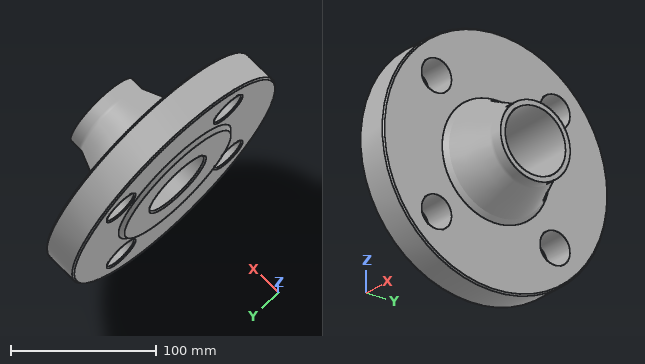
import cadquery as cq
import math

overall_length = 75.0
flange_diameter = 195.0
flange_back = 30.0
flange_chamfer = 1.2

raised_face_height = 3.0
raised_face_diameter = 102.0
raised_face_base_radius = raised_face_diameter / 2 + raised_face_height

neck_foot_radius = 46.5
neck_start = 33.7
neck_start_radius = 43.3
neck_end = 63.5
neck_end_radius = 30.6
pipe_start = 66.0
pipe_diameter = 60.3

bore_diameter = 52.3
bore_chamfer = 1.2

bolt_hole_count = 4
bolt_hole_diameter = 26.0
bolt_hole_chamfer = 1.0
bolt_circle_diameter = 145.0
first_bolt_angle = 45.0


def flange_body():
    """Revolve the half section; sketch coordinates are (X, radius)."""
    flange_radius = flange_diameter / 2
    pipe_radius = pipe_diameter / 2
    section = (
        cq.Workplane("XY")
        .moveTo(0, 0)
        .lineTo(0, raised_face_diameter / 2)
        .lineTo(raised_face_height, raised_face_base_radius)
        .lineTo(raised_face_height, flange_radius - flange_chamfer)
        .lineTo(raised_face_height + flange_chamfer, flange_radius)
        .lineTo(flange_back - flange_chamfer, flange_radius)
        .lineTo(flange_back, flange_radius - flange_chamfer)
        .lineTo(flange_back, neck_foot_radius)
        .lineTo(neck_start, neck_start_radius)
        .lineTo(neck_end, neck_end_radius)
        .tangentArcPoint((pipe_start, pipe_radius), relative=False)
        .lineTo(overall_length, pipe_radius)
        .lineTo(overall_length, 0)
        .close()
    )
    return section.revolve(360, (0, 0, 0), (1, 0, 0))


def chamfered_hole_cutter(diameter, chamfer, entry_x, y=0, z=0):
    """Through hole along X, with a 45 degree chamfer where it enters at entry_x."""
    radius = diameter / 2
    direction = cq.Vector(1, 0, 0)
    entry = cq.Vector(entry_x, y, z)
    drill = cq.Solid.makeCylinder(radius, overall_length, entry, direction)
    countersink = cq.Solid.makeCone(radius + chamfer, radius, chamfer, entry, direction)
    return drill.fuse(countersink)


result = flange_body().cut(chamfered_hole_cutter(bore_diameter, bore_chamfer, 0))

for index in range(bolt_hole_count):
    angle = math.radians(first_bolt_angle + index * 360 / bolt_hole_count)
    hole_y = bolt_circle_diameter / 2 * math.cos(angle)
    hole_z = bolt_circle_diameter / 2 * math.sin(angle)
    result = result.cut(
        chamfered_hole_cutter(
            bolt_hole_diameter, bolt_hole_chamfer, raised_face_height, hole_y, hole_z
        )
    )